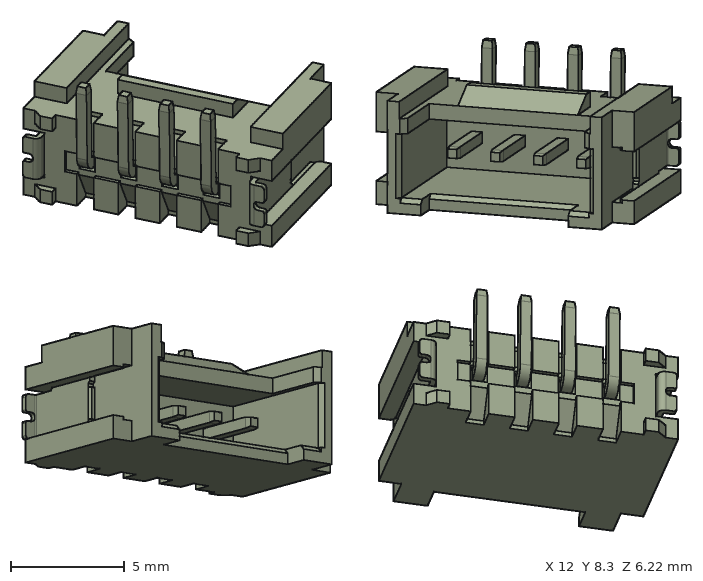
import cadquery as cq
import math


width = 12.0
half_width = width / 2
top_z = 4.31
back_y = 7.85
floor_thickness = 0.7
front_wall = 1.44
wing_top_z = 5.08
wing_front_y = 1.19
wing_inner_x = 4.44
shoulder_y = 6.41
shoulder_x = 4.98
roof_back_y = 4.67
floor_back_y = 6.68
floor_gap_half = 3.43
mouth_chamfer = 0.2

cavity_half = 4.12
lip_flare = 0.29
undercut_half = 4.39
undercut_top_z = 3.61

ridge_half = 2.78
ridge_front_y = 2.98
ridge_crest_y = 3.45
ridge_top_z = 4.99

foot_inner_x = 4.44
foot_tip_x = 5.03
foot_outer_x = 5.44
foot_height = 0.65
foot_reach = 0.36

groove_bottom_z = 1.05
groove_top_z = 3.29
retainer_front_y = 0.97
retainer_depth = 0.13
retainer_lead_in = 0.17

clip_inner_x = 5.03
clip_thickness = 0.26
clip_outer_x = clip_inner_x + clip_thickness
clip_bend_inner = 0.04
clip_bend_outer = clip_bend_inner + clip_thickness
clip_tip_x = 5.83
clip_front_y = -0.45
clip_bottom_z = 1.14
clip_top_z = 3.17
clip_taper_y = 0.9
clip_corner = 0.15
clip_notch_height = 0.41
clip_notch_x = 5.33
clip_notch_corner = 0.1
clip_mid_z = (clip_bottom_z + clip_top_z) / 2
clip_wide_bottom_z = groove_bottom_z - retainer_depth
clip_wide_top_z = groove_top_z + retainer_depth
clip_shoulder_y = clip_taper_y + clip_wide_top_z - clip_top_z
clip_back_y = 3.75
clip_back_notch = 0.11
clip_back_notch_half = 0.98
clip_tongue_half = 0.72
clip_tongue_bevel = 0.1

pin_count = 4
pin_pitch = width / 6
pin_width = 0.5
pin_bottom_z = 1.91
pin_bend_inner = 0.22
pin_bend_outer = pin_bend_inner + pin_width
pin_bend_y = 0.35
pin_bend_z = pin_bottom_z + pin_bend_outer
pin_mid_z = pin_bottom_z + pin_width / 2
pin_tilt = 1.4
pin_back_y = 4.81
pin_top_z = 6.22
pin_tip_length = 0.32
pin_tip_inset = 0.05

band_half = 4.01
band_depth = 0.19
band_bottom_z = 1.58
band_top_z = 2.6
slot_width = 0.82
slot_depth = 0.92
slot_land = 0.2
lower_slope_end_z = 1.46
upper_slope_end_z = 2.77
funnel_width = 0.78
funnel_depth = 0.19

pin_places = [(i - (pin_count - 1) / 2) * pin_pitch for i in range(pin_count)]


def block(x0, x1, y0, y1, z0, z1):
    """Box between two corners."""
    return cq.Workplane("XY").box(x1 - x0, y1 - y0, z1 - z0, centered=False).translate((x0, y0, z0))


def across(points, half, x_mid=0):
    """Prism along X from a (y, z) outline, centred on x_mid."""
    prism = cq.Workplane("YZ").polyline(points).close().extrude(half, both=True)
    return prism.translate((x_mid, 0, 0))


def upright(points, z0, z1):
    """Vertical prism from an (x, y) outline."""
    return cq.Workplane("XY").workplane(offset=z0).polyline(points).close().extrude(z1 - z0)


def mirrored(solid):
    """The solid together with its mirror image in X."""
    return solid.union(solid.mirror("YZ"))


def make_shell():
    """Outer block with shouldered side walls, raised wings and the latch ridge."""
    shell = block(-half_width, half_width, 0, shoulder_y, 0, top_z)
    shell = shell.union(block(-shoulder_x, shoulder_x, 0, back_y, 0, top_z))
    wing = block(wing_inner_x, half_width, wing_front_y, shoulder_y, top_z, wing_top_z)
    wing = wing.union(block(wing_inner_x, shoulder_x, wing_front_y, back_y, top_z, wing_top_z))
    ridge = across(
        [
            (ridge_front_y, top_z),
            (ridge_front_y, ridge_top_z),
            (ridge_crest_y, ridge_top_z),
            (roof_back_y, top_z),
        ],
        ridge_half,
    )
    return shell.union(mirrored(wing)).union(ridge)


def flared_outline(half, flare):
    """Cavity outline in plan, widening by flare at the mouth."""
    flare_y = back_y - mouth_chamfer
    right = [(half, front_wall), (half, flare_y), (half + flare, back_y)]
    left = [(-x, y) for x, y in reversed(right)]
    return right + left


def floor_edge_bevel(edge_y, half):
    """Wedge that bevels the cavity floor where it ends at edge_y."""
    outline = [
        (edge_y - mouth_chamfer, floor_thickness),
        (edge_y, floor_thickness - mouth_chamfer),
        (edge_y, floor_thickness),
    ]
    return across(outline, half)


def cut_cavity(body):
    """Mating cavity with undercut side walls, open roof and cut-back floor."""
    behind_roof = block(-half_width, half_width, roof_back_y, back_y, floor_thickness, top_z)
    roof_opening = upright(flared_outline(cavity_half, lip_flare), floor_thickness, top_z)
    chamber = upright(flared_outline(undercut_half, mouth_chamfer), floor_thickness, undercut_top_z)
    body = body.cut(roof_opening.intersect(behind_roof)).cut(chamber)
    body = body.cut(block(-floor_gap_half, floor_gap_half, floor_back_y, back_y, 0, floor_thickness))
    body = body.cut(floor_edge_bevel(floor_back_y, floor_gap_half))
    return body.cut(floor_edge_bevel(back_y, undercut_half))


def make_feet():
    """Four stand-off feet with bevelled outer flanks."""
    outline = [
        (foot_inner_x, 0),
        (foot_inner_x, -foot_reach),
        (foot_tip_x, -foot_reach),
        (foot_outer_x, 0),
    ]
    lower = upright(outline, 0, foot_height)
    upper = upright(outline, top_z - foot_height, top_z)
    return mirrored(lower).union(mirrored(upper))


def make_groove():
    """One side groove whose rails are undercut to retain the clip edges."""
    groove = block(shoulder_x, half_width, 0, shoulder_y, groove_bottom_z, groove_top_z)
    plan = [
        (shoulder_x, retainer_front_y),
        (clip_outer_x, retainer_front_y),
        (clip_outer_x, shoulder_y - retainer_lead_in),
        (clip_outer_x + retainer_lead_in, shoulder_y),
        (shoulder_x, shoulder_y),
    ]
    return groove.union(upright(plan, clip_wide_bottom_z, clip_wide_top_z))


def make_clip():
    """One hold-down clip: side plate bent into a forked tab, with a bevelled tongue at the back."""
    bend_x = clip_inner_x + clip_bend_outer
    bend_y = clip_front_y + clip_bend_outer
    diagonal = math.sqrt(0.5)
    notch_floor_y = clip_back_y - clip_back_notch
    strip = (
        cq.Workplane("XY")
        .workplane(offset=clip_wide_bottom_z)
        .moveTo(clip_inner_x, clip_back_y)
        .lineTo(clip_inner_x, bend_y)
        .threePointArc(
            (bend_x - clip_bend_outer * diagonal, bend_y - clip_bend_outer * diagonal),
            (bend_x, clip_front_y),
        )
        .lineTo(clip_tip_x, clip_front_y)
        .lineTo(clip_tip_x, clip_front_y + clip_thickness)
        .lineTo(bend_x, clip_front_y + clip_thickness)
        .threePointArc(
            (bend_x - clip_bend_inner * diagonal, bend_y - clip_bend_inner * diagonal),
            (clip_outer_x, bend_y),
        )
        .lineTo(clip_outer_x, clip_back_y)
        .close()
        .extrude(clip_wide_top_z - clip_wide_bottom_z)
    )
    side_outline = across(
        [
            (clip_front_y, clip_bottom_z),
            (clip_taper_y, clip_bottom_z),
            (clip_shoulder_y, clip_wide_bottom_z),
            (clip_back_y, clip_wide_bottom_z),
            (clip_back_y, clip_mid_z - clip_back_notch_half),
            (notch_floor_y, clip_mid_z - clip_back_notch_half + clip_back_notch),
            (notch_floor_y, clip_mid_z + clip_back_notch_half - clip_back_notch),
            (clip_back_y, clip_mid_z + clip_back_notch_half),
            (clip_back_y, clip_wide_top_z),
            (clip_shoulder_y, clip_wide_top_z),
            (clip_taper_y, clip_top_z),
            (clip_front_y, clip_top_z),
        ],
        width,
    )
    clip = strip.intersect(side_outline)
    clip = clip.edges("|Y").edges(">X").fillet(clip_corner)
    notch_radius = clip_notch_height / 2
    notch_y = clip_front_y + clip_thickness / 2
    notch_centre_x = clip_notch_x + notch_radius
    notch = block(
        notch_centre_x, half_width,
        clip_front_y, clip_front_y + clip_thickness,
        clip_mid_z - notch_radius, clip_mid_z + notch_radius,
    )
    notch_end = (
        cq.Workplane("XZ", origin=(notch_centre_x, notch_y, clip_mid_z))
        .circle(notch_radius)
        .extrude(clip_thickness / 2, both=True)
    )
    clip = clip.cut(notch.union(notch_end))
    mouth = cq.selectors.BoxSelector(
        (clip_tip_x - clip_notch_corner, clip_front_y, clip_mid_z - clip_notch_height),
        (clip_tip_x + clip_notch_corner, clip_front_y + clip_thickness, clip_mid_z + clip_notch_height),
    )
    clip = clip.edges("|Y").edges(mouth).fillet(clip_notch_corner)
    tongue = upright(
        [
            (clip_inner_x, notch_floor_y),
            (clip_outer_x, notch_floor_y),
            (clip_outer_x - clip_tongue_bevel, clip_back_y),
            (clip_inner_x, clip_back_y),
        ],
        clip_mid_z - clip_tongue_half,
        clip_mid_z + clip_tongue_half,
    )
    return clip.union(tongue)


def make_slot(x_mid):
    """Upper and lower slots at one pin, with floors sloping towards the band."""
    upper = across(
        [
            (0, band_top_z),
            (band_depth, band_top_z),
            (band_depth, upper_slope_end_z),
            (slot_depth, top_z - slot_land),
            (slot_depth, top_z),
            (0, top_z),
        ],
        slot_width / 2,
        x_mid,
    )
    lower = across(
        [
            (0, band_bottom_z),
            (band_depth, band_bottom_z),
            (band_depth, lower_slope_end_z),
            (slot_depth, slot_land),
            (slot_depth, 0),
            (0, 0),
        ],
        slot_width / 2,
        x_mid,
    )
    return upper.union(lower)


def make_funnel(x_mid):
    """Tapered lead-in around one pin, narrowing to the pin's own section."""
    return (
        cq.Workplane("XZ", origin=(x_mid, band_depth, pin_mid_z))
        .rect(funnel_width, funnel_width)
        .workplane(offset=-funnel_depth)
        .rect(pin_width, pin_width)
        .loft()
    )


def make_bar(length):
    """Square pin bar standing on the origin, with a tapered tip."""
    tip_width = pin_width - 2 * pin_tip_inset
    shaft_length = length - pin_tip_length
    bar = cq.Workplane("XY").rect(pin_width, pin_width).extrude(shaft_length)
    tip = (
        cq.Workplane("XY", origin=(0, 0, shaft_length))
        .rect(pin_width, pin_width)
        .workplane(offset=pin_tip_length)
        .rect(tip_width, tip_width)
        .loft()
    )
    return bar.union(tip)


def make_pin(x_mid):
    """One pin: contact bar along Y, bent up into a slightly tilted tail."""
    bend_mid = (pin_bend_inner + pin_bend_outer) / 2
    tilt = math.radians(pin_tilt)
    tip_drop = (pin_bend_inner + pin_tip_inset) * math.sin(tilt)
    tail_length = (pin_top_z - pin_bend_z + tip_drop) / math.cos(tilt)

    contact = make_bar(pin_back_y - pin_bend_y).rotate((0, 0, 0), (1, 0, 0), -90)
    contact = contact.translate((0, pin_bend_y, pin_mid_z))
    bend_axis = (0, pin_bend_y, pin_bend_z)
    tail = make_bar(tail_length).translate((0, pin_bend_y - bend_mid, pin_bend_z))
    tail = tail.rotate(bend_axis, (1, pin_bend_y, pin_bend_z), pin_tilt)
    bend = (
        cq.Workplane("XZ", origin=(0, pin_bend_y, pin_mid_z))
        .rect(pin_width, pin_width)
        .revolve(90 - pin_tilt, (0.12, bend_mid, 0), (-0.12, bend_mid, 0))
    )
    return contact.union(bend).union(tail).translate((x_mid, 0, 0))


result = cut_cavity(make_shell())
result = result.union(make_feet())
result = result.cut(mirrored(make_groove()))
result = result.cut(block(-band_half, band_half, 0, band_depth, band_bottom_z, band_top_z))
for place in pin_places:
    result = result.cut(make_slot(place)).cut(make_funnel(place))
for place in pin_places:
    result = result.union(make_pin(place))
result = result.union(mirrored(make_clip()))